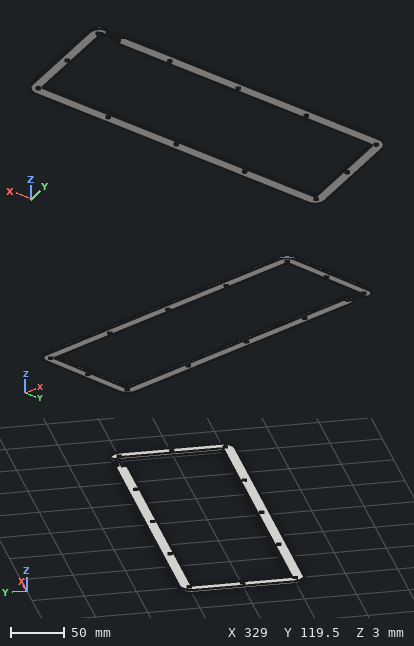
import cadquery as cq

length = 329.0
width = 119.5
thickness = 3.0
corner_radius = 12.0
side_rail = 11.2
long_rail = 12.0

hole_diameter = 3.3
corner_inset_x = 8.5
corner_inset_y = 9.0
long_rail_inset = 7.5
side_rail_inset = 7.2
hole_pitch = 76.5

gap_start_x = 133.0
notch_depth = 4.0
notch_end_x = length / 2 - corner_radius
notch_step = 1.0
notch_slope_run = notch_depth - notch_step
notch_floor_start_x = gap_start_x + notch_slope_run
notch_floor_end_x = notch_end_x - notch_slope_run
bridge_bottom_depth = 7.0

half_length = length / 2
half_width = width / 2
window_end_x = half_length - side_rail
window_end_y = half_width - long_rail


def make_frame():
    """Flat rounded plate with a sharp-cornered rectangular window."""
    plate = cq.Workplane("XY").box(length, width, thickness, centered=(True, True, False))
    plate = plate.edges("|Z").fillet(corner_radius)
    window = cq.Workplane("XY").rect(2 * window_end_x, 2 * window_end_y).extrude(thickness)
    return plate.cut(window)


def make_window_relief():
    """Extension of the window that leaves only the thin bridge above it."""
    return (
        cq.Workplane("XY")
        .moveTo(gap_start_x, 0)
        .lineTo(window_end_x, 0)
        .lineTo(window_end_x, half_width - bridge_bottom_depth)
        .lineTo(gap_start_x, half_width - bridge_bottom_depth)
        .close()
        .extrude(thickness)
    )


def make_outer_notch():
    """Notch in the outer edge, with a short step and sloping ends."""
    floor_y = half_width - notch_depth
    return (
        cq.Workplane("XY")
        .moveTo(gap_start_x, half_width)
        .lineTo(gap_start_x, half_width - notch_step)
        .lineTo(notch_floor_start_x, floor_y)
        .lineTo(notch_floor_end_x, floor_y)
        .lineTo(notch_end_x, half_width)
        .close()
        .extrude(thickness)
    )


def hole_positions():
    """Centres of the corner, side-rail and long-rail holes."""
    points = []
    for side in (-1, 1):
        points.append((side * (half_length - side_rail_inset), 0))
        rail_y = side * (half_width - long_rail_inset)
        for step in (-1, 0, 1):
            points.append((step * hole_pitch, rail_y))
        corner_y = side * (half_width - corner_inset_y)
        for end in (-1, 1):
            points.append((end * (half_length - corner_inset_x), corner_y))
    return points


holes = cq.Workplane("XY").pushPoints(hole_positions()).circle(hole_diameter / 2).extrude(thickness)

result = make_frame().cut(make_window_relief()).cut(make_outer_notch()).cut(holes)